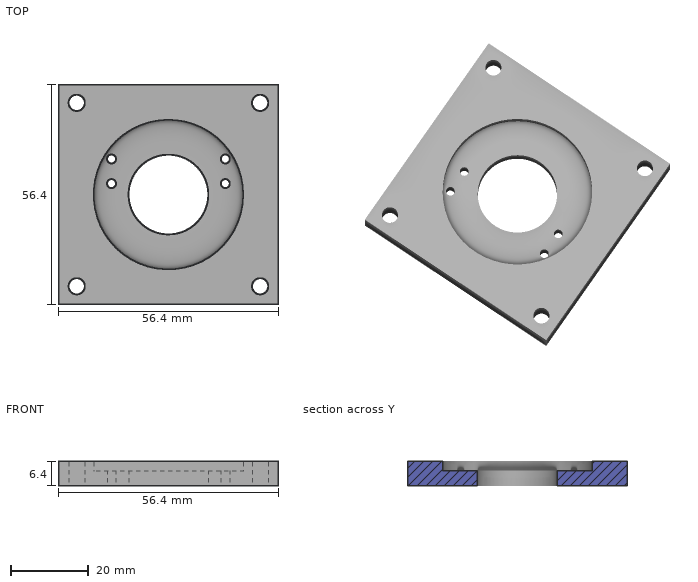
import cadquery as cq

plate_side = 56.4
plate_thickness = 6.4

recess_diameter = 38.4
recess_depth = 2.4
bore_diameter = 20.4

mount_hole_diameter = 4.1
mount_hole_spacing = 47.1

pin_hole_diameter = 2.25
pin_hole_x = 14.6
pin_hole_rows = (2.8, 9.15)


def through_holes(diameter, centres):
    """Cylinders that cut the full plate thickness at the given centres."""
    return (
        cq.Workplane("XY")
        .pushPoints(centres)
        .circle(diameter / 2)
        .extrude(plate_thickness)
    )


plate = cq.Workplane("XY").rect(plate_side, plate_side).extrude(plate_thickness)

recess = (
    cq.Workplane("XY")
    .workplane(offset=plate_thickness - recess_depth)
    .circle(recess_diameter / 2)
    .extrude(recess_depth)
)

bore = through_holes(bore_diameter, [(0, 0)])

mount_offset = mount_hole_spacing / 2
mount_centres = [(sx * mount_offset, sy * mount_offset) for sx in (-1, 1) for sy in (-1, 1)]
mount_holes = through_holes(mount_hole_diameter, mount_centres)

pin_centres = [(side * pin_hole_x, y) for side in (-1, 1) for y in pin_hole_rows]
pin_holes = through_holes(pin_hole_diameter, pin_centres)

result = plate.cut(recess).cut(bore).cut(mount_holes).cut(pin_holes)